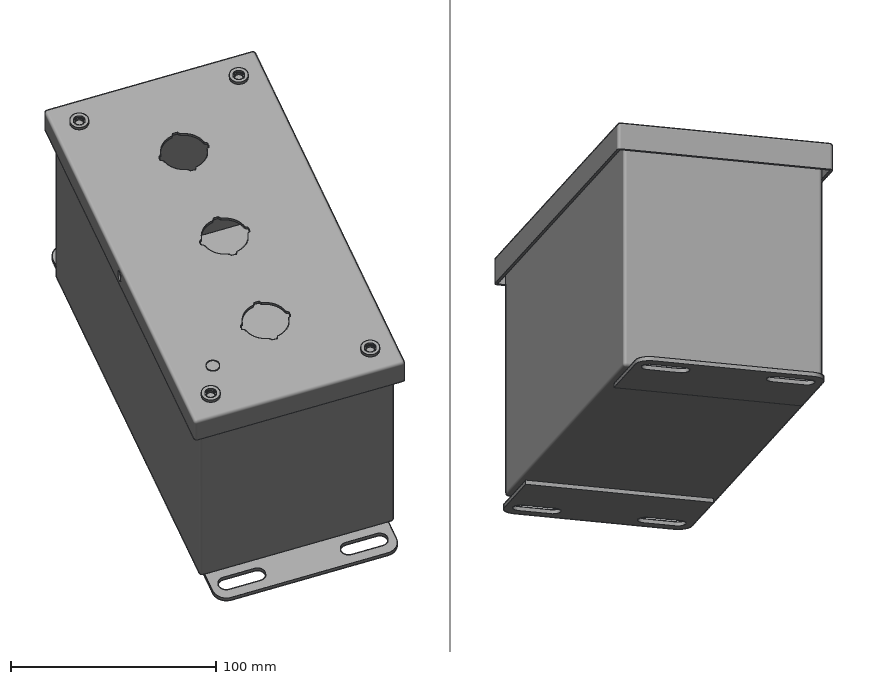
import cadquery as cq

total_length = 238.1
lid_length = 211.7
lid_width = 109.5
lid_overhang = 4.3
total_height = 127.9

sheet = 1.5
bend_radius = 1.7

foot_thickness = 2.1
foot_length = 43.8
foot_width = 95.5
foot_corner_radius = 7.1
foot_slot_diameter = 8.0
foot_slot_length = 24.3
foot_slot_spacing = 63.5
foot_slot_edge = 9.3

screw_head_height = 1.7
lid_skirt_height = 13.8
lid_top = total_height - screw_head_height
lid_bottom = lid_top - lid_skirt_height

screw_head_diameter = 9.3
screw_spacing_x = 184.3
screw_spacing_y = 82.9
socket_diameter = 5.7
socket_depth = 1.2
bore_diameter = 4.3
bore_depth = 2.5

button_count = 3
button_pitch = 57.1
button_diameter = 22.9
button_key_reach = 12.6
button_key_root = 11.0
button_key_base = 4.8
button_key_tip = 2.5

skirt_slot_width = 3.3
skirt_slot_height = 6.7
skirt_slot_drop = 7.6

plug_diameter = 6.7
plug_height = 0.5
plug_x = 75.2
plug_y = -34.0

box_length = lid_length - 2 * lid_overhang
box_width = lid_width - 2 * lid_overhang
box_bottom = foot_thickness
box_height = lid_top - sheet - box_bottom


def block(length, width, height, bottom):
    """Block centred on the Z axis, standing at the given height."""
    return cq.Workplane("XY", origin=(0, 0, bottom)).box(
        length, width, height, centered=(True, True, False)
    )


def make_foot(side):
    """Flat foot under one end of the box; side is -1 or +1 along X."""
    outer_end = side * total_length / 2
    foot = block(foot_length, foot_width, foot_thickness, 0).translate(
        (outer_end - side * foot_length / 2, 0, 0)
    )
    outer_face = ">X" if side > 0 else "<X"
    foot = foot.faces(outer_face).edges("|Z").fillet(foot_corner_radius)
    slots = (
        cq.Workplane("XY", origin=(outer_end - side * foot_slot_edge, 0, 0))
        .rarray(2.5, foot_slot_spacing, 1, 2)
        .slot2D(foot_slot_length, foot_slot_diameter, 90)
        .extrude(foot_thickness)
    )
    return foot.cut(slots)


def make_box():
    """Open-topped sheet box with its two welded feet."""
    box = block(box_length, box_width, box_height, box_bottom)
    box = box.edges("|Z").fillet(bend_radius).faces("<Z").edges().fillet(bend_radius)
    cavity = block(box_length - 2 * sheet, box_width - 2 * sheet, box_height, box_bottom + sheet)
    box = box.cut(cavity)
    for side in (-1, 1):
        box = box.union(make_foot(side))
    return box


def button_cutter():
    """Round holes in a row along X, each with four key notches that narrow outwards."""
    hole = cq.Workplane("XY").circle(button_diameter / 2).extrude(sheet)
    notch = (
        cq.Workplane("XY")
        .moveTo(0, -button_key_base / 2)
        .lineTo(button_key_root, -button_key_base / 2)
        .lineTo(button_key_reach, -button_key_tip / 2)
        .lineTo(button_key_reach, button_key_tip / 2)
        .lineTo(button_key_root, button_key_base / 2)
        .lineTo(0, button_key_base / 2)
        .close()
        .extrude(sheet)
    )
    for quarter in range(4):
        hole = hole.union(notch.rotate((0, 0, 0), (0, 0, 1), 90 * quarter))
    centres = cq.Workplane("XY", origin=(0, 0, lid_top - sheet)).rarray(button_pitch, 2.5, button_count, 1)
    return centres.eachpoint(lambda place: hole.val().moved(place))


def screw_discs(diameter, depth):
    """One upright disc at each screw, reaching down from the top of the heads."""
    return (
        cq.Workplane("XY", origin=(0, 0, total_height))
        .rarray(screw_spacing_x, screw_spacing_y, 2, 2)
        .circle(diameter / 2)
        .extrude(-depth)
    )


def make_lid():
    """Lid with a skirt, button holes, a skirt slot and its screw heads with stepped sockets."""
    lid = block(lid_length, lid_width, lid_skirt_height, lid_bottom)
    lid = lid.edges("|Z").fillet(bend_radius).faces(">Z").edges().fillet(bend_radius)
    cavity = block(lid_length - 2 * sheet, lid_width - 2 * sheet, lid_skirt_height - sheet, lid_bottom)
    skirt_slot = (
        cq.Workplane("XZ", origin=(0, -lid_width / 2 + sheet, lid_top - skirt_slot_drop))
        .slot2D(skirt_slot_height, skirt_slot_width, 90)
        .extrude(sheet)
    )
    lid = lid.cut(cavity).cut(button_cutter()).cut(skirt_slot)
    lid = lid.union(screw_discs(screw_head_diameter, screw_head_height))
    lid = lid.cut(screw_discs(socket_diameter, socket_depth))
    return lid.cut(screw_discs(bore_diameter, bore_depth))


def make_plug():
    """Thin round plug resting on the lid."""
    return (
        cq.Workplane("XY", origin=(plug_x, plug_y, lid_top))
        .circle(plug_diameter / 2)
        .extrude(plug_height)
    )


box = make_box()
lid = make_lid()
plug = make_plug()

result = cq.Compound.makeCompound([box.val(), lid.val(), plug.val()])